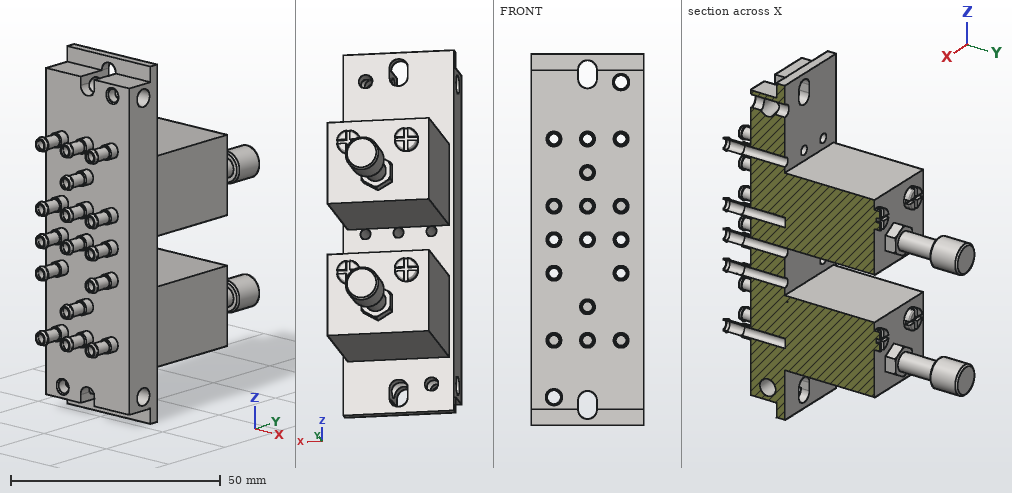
import cadquery as cq
import math

PLATE_WIDTH = 26.8
PLATE_HEIGHT = 88.5
PLATE_THICKNESS = 10.0
BLOCK_HEIGHT = 80.8
FLANGE_THICKNESS = 2.5

OUTER_ROW_Z = 24.0
PITCH = OUTER_ROW_Z / 3

SLOT_WIDTH = 4.4
SLOT_LENGTH = 6.6
SLOT_Z = 39.4
CROSS_HOLE_DIAMETER = 4.4
CROSS_HOLE_Z = 37.0
SCREW_HOLE_DIAMETER = 3.3
SCREW_HOLE_RIM_DIAMETER = 4.0
SCREW_HOLE_Z = 37.5

FITTING_LENGTH = 8.0
FITTING_DIAMETER = 3.6
NECK_DIAMETER = 3.0
BORE_DIAMETER = 2.5
COLLAR_LENGTH = 2.7
BARB_LENGTH = 1.0
FITTING_COLUMNS = {
    3: (-1, 0, 1),
    2: (0,),
    1: (-1, 0, 1),
    0: (-1, 0, 1),
    -1: (-1, 1),
    -2: (0,),
    -3: (-1, 0, 1),
}

BODY_WIDTH = 24.6
BODY_HEIGHT = 19.9
BODY_DEPTH = 26.0
BODY_CENTERS_Z = (11.2, -21.15)
BODY_BACK = PLATE_THICKNESS + BODY_DEPTH

KNOB_ROWS = (1, -3)
NUT_ACROSS_FLATS = 7.0
NUT_HEIGHT = 2.9
NUT_FACE_DIAMETER = 7.5
STEM_DIAMETER = 5.0
CAP_DIAMETER = 8.0
CAP_LENGTH = 8.0
CAP_CHAMFER = 0.4
KNOB_LENGTH = 21.0

HEAD_ROWS = (2, -2)
HEAD_X = 7.0
HEAD_DIAMETER = 5.6
HEAD_HEIGHT = 1.6
HEAD_FILLET = 0.35
DRIVE_WIDTH = 1.0
DRIVE_DEPTH = 1.1


def facing_back(x, y, z):
    """Workplane at a point, extruding toward +Y, with local x along +X."""
    return cq.Workplane(cq.Plane(origin=(x, y, z), xDir=(1, 0, 0), normal=(0, 1, 0)))


def box(width, depth, height, y_start, x=0, z=0):
    """Box centred on x and z that starts at y_start and grows toward +Y."""
    return facing_back(x, y_start, z).rect(width, height).extrude(depth)


def make_plate():
    block = box(PLATE_WIDTH, PLATE_THICKNESS, BLOCK_HEIGHT, 0)
    flange = box(PLATE_WIDTH, FLANGE_THICKNESS, PLATE_HEIGHT, PLATE_THICKNESS - FLANGE_THICKNESS)
    plate = block.union(flange)
    rim_depth = (SCREW_HOLE_RIM_DIAMETER - SCREW_HOLE_DIAMETER) / 2
    for side in (1, -1):
        slot = (
            facing_back(0, 0, side * SLOT_Z)
            .slot2D(SLOT_LENGTH, SLOT_WIDTH, 90)
            .extrude(PLATE_THICKNESS)
        )
        cross_hole = (
            cq.Workplane("YZ", origin=(-PLATE_WIDTH / 2, PLATE_THICKNESS / 2, side * CROSS_HOLE_Z))
            .circle(CROSS_HOLE_DIAMETER / 2)
            .extrude(PLATE_WIDTH)
        )
        screw_hole = (
            facing_back(side * PITCH, 0, side * SCREW_HOLE_Z)
            .circle(SCREW_HOLE_DIAMETER / 2)
            .extrude(PLATE_THICKNESS)
        )
        rim = (
            facing_back(side * PITCH, 0, side * SCREW_HOLE_Z)
            .circle(SCREW_HOLE_RIM_DIAMETER / 2)
            .workplane(offset=rim_depth)
            .circle(SCREW_HOLE_DIAMETER / 2)
            .loft()
        )
        plate = plate.cut(slot).cut(cross_hole).cut(screw_hole).cut(rim)
    return plate


def make_fitting(x, z):
    """Hose fitting turned about the Y axis: collar, neck and tapered barb."""
    collar_radius = FITTING_DIAMETER / 2
    neck_radius = NECK_DIAMETER / 2
    chamfer = collar_radius - neck_radius
    barb_start = FITTING_LENGTH - BARB_LENGTH
    return (
        cq.Workplane("XY")
        .moveTo(0, 0)
        .lineTo(collar_radius, 0)
        .lineTo(collar_radius, chamfer - COLLAR_LENGTH)
        .lineTo(neck_radius, -COLLAR_LENGTH)
        .lineTo(neck_radius, -barb_start)
        .lineTo(collar_radius, -barb_start)
        .lineTo(neck_radius, -FITTING_LENGTH)
        .lineTo(0, -FITTING_LENGTH)
        .close()
        .revolve(360, (0, 0, 0), (0, 1, 0))
        .translate((x, 0, z))
    )


def make_bore(x, z):
    """Air passage through a fitting and the plate."""
    return (
        facing_back(x, -FITTING_LENGTH, z)
        .circle(BORE_DIAMETER / 2)
        .extrude(FITTING_LENGTH + PLATE_THICKNESS)
    )


def make_knob(z):
    corner_diameter = NUT_ACROSS_FLATS / math.cos(math.pi / 6)
    nut = (
        facing_back(0, BODY_BACK, z)
        .transformed(rotate=(0, 0, 90))
        .polygon(6, corner_diameter)
        .extrude(NUT_HEIGHT)
    )
    bevel_width = (corner_diameter - NUT_FACE_DIAMETER) / 2
    bevel_height = bevel_width * math.tan(math.pi / 6)
    bevel = (
        facing_back(0, BODY_BACK + NUT_HEIGHT - bevel_height, z)
        .circle(corner_diameter / 2)
        .workplane(offset=bevel_height)
        .circle(NUT_FACE_DIAMETER / 2)
        .loft()
    )
    bevel_base = (
        facing_back(0, BODY_BACK, z).circle(corner_diameter / 2).extrude(NUT_HEIGHT - bevel_height)
    )
    nut = nut.intersect(bevel_base.union(bevel))
    stem = facing_back(0, BODY_BACK, z).circle(STEM_DIAMETER / 2).extrude(KNOB_LENGTH - CAP_LENGTH)
    cap = (
        facing_back(0, BODY_BACK + KNOB_LENGTH - CAP_LENGTH, z)
        .circle(CAP_DIAMETER / 2)
        .extrude(CAP_LENGTH)
        .edges()
        .chamfer(CAP_CHAMFER)
    )
    return nut.union(stem).union(cap)


def make_screw_head(x, z):
    head = (
        facing_back(x, BODY_BACK, z)
        .circle(HEAD_DIAMETER / 2)
        .extrude(HEAD_HEIGHT)
        .faces(">Y")
        .edges()
        .fillet(HEAD_FILLET)
    )
    drive_floor = BODY_BACK + HEAD_HEIGHT - DRIVE_DEPTH
    drive_x = box(HEAD_DIAMETER, DRIVE_DEPTH, DRIVE_WIDTH, drive_floor, x, z)
    drive_z = box(DRIVE_WIDTH, DRIVE_DEPTH, HEAD_DIAMETER, drive_floor, x, z)
    return head.cut(drive_x).cut(drive_z)


result = make_plate()

for body_z in BODY_CENTERS_Z:
    result = result.union(box(BODY_WIDTH, BODY_DEPTH, BODY_HEIGHT, PLATE_THICKNESS, z=body_z))

for knob_row in KNOB_ROWS:
    result = result.union(make_knob(knob_row * PITCH))

for head_row in HEAD_ROWS:
    for head_x in (-HEAD_X, HEAD_X):
        result = result.union(make_screw_head(head_x, head_row * PITCH))

fitting_spots = [
    (column * PITCH, row * PITCH) for row, columns in FITTING_COLUMNS.items() for column in columns
]
for spot in fitting_spots:
    result = result.union(make_fitting(*spot)).cut(make_bore(*spot))